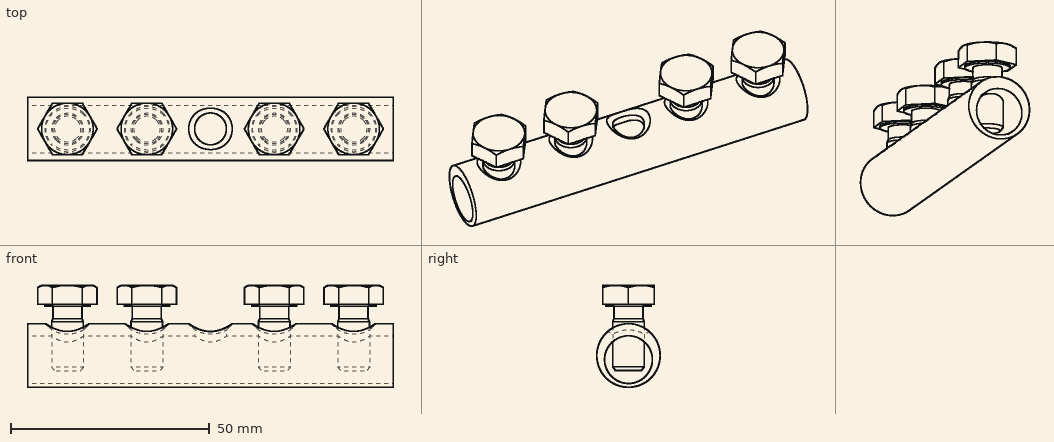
import cadquery as cq
import math

SLEEVE_LENGTH = 92.0
SLEEVE_DIAMETER = 16.0
SLEEVE_RADIUS = SLEEVE_DIAMETER / 2
BORE_DIAMETER = 12.0
BORE_DROP = 1.0

INNER_SCREW_X = 16.0
OUTER_SCREW_X = 36.0
SCREW_POSITIONS = [-OUTER_SCREW_X, -INNER_SCREW_X, INNER_SCREW_X, OUTER_SCREW_X]
MIDDLE_HOLE_X = 0.0

SHANK_DIAMETER = 8.0
HOLE_CHAMFER = 1.5

SCREW_TOP = 25.7 - SLEEVE_RADIUS
SCREW_LENGTH = 21.4
HEAD_HEIGHT = 4.8
HEAD_ACROSS_FLATS = 13.0
HEAD_ACROSS_CORNERS = HEAD_ACROSS_FLATS / math.cos(math.pi / 6)
HEAD_BEVEL_ANGLE = math.radians(30)
WASHER_FACE_DIAMETER = 11.4
WASHER_FACE_HEIGHT = 0.5
NECK_DIAMETER = 7.4
NECK_LENGTH = 3.1
NECK_BEVEL_LENGTH = 0.8
TIP_BEVEL_WIDTH = 0.7
TIP_BEVEL_LENGTH = 0.9


def make_sleeve():
    """Eccentric tube with a row of chamfered radial holes through its upper wall."""
    body = (
        cq.Workplane("YZ", origin=(-SLEEVE_LENGTH / 2, 0, 0))
        .circle(SLEEVE_RADIUS)
        .extrude(SLEEVE_LENGTH)
    )

    hole_positions = [(x, 0) for x in SCREW_POSITIONS + [MIDDLE_HOLE_X]]
    hole_cutter = (
        cq.Workplane("XY")
        .pushPoints(hole_positions)
        .circle(SHANK_DIAMETER / 2)
        .extrude(SLEEVE_DIAMETER)
    )
    body = body.cut(hole_cutter)

    rims = [
        edge for edge in body.edges().vals()
        if edge.geomType() not in ("LINE", "CIRCLE")
    ]
    body = body.newObject(rims).chamfer(HOLE_CHAMFER)

    bore = (
        cq.Workplane("YZ", origin=(-SLEEVE_LENGTH / 2, 0, -BORE_DROP))
        .circle(BORE_DIAMETER / 2)
        .extrude(SLEEVE_LENGTH)
    )
    return body.cut(bore)


def make_head():
    """Hexagonal head, corners along X, its top corners bevelled by a cone."""
    hexagon = (
        cq.Workplane("XY", origin=(0, 0, SCREW_TOP - HEAD_HEIGHT))
        .polygon(6, HEAD_ACROSS_CORNERS)
        .extrude(HEAD_HEIGHT)
    )
    corner_radius = HEAD_ACROSS_CORNERS / 2
    top_radius = HEAD_ACROSS_FLATS / 2
    bevel_drop = (corner_radius - top_radius) * math.tan(HEAD_BEVEL_ANGLE)
    bevel_envelope = (
        cq.Workplane("XZ")
        .moveTo(0, SCREW_TOP - HEAD_HEIGHT)
        .lineTo(corner_radius, SCREW_TOP - HEAD_HEIGHT)
        .lineTo(corner_radius, SCREW_TOP - bevel_drop)
        .lineTo(top_radius, SCREW_TOP)
        .lineTo(0, SCREW_TOP)
        .close()
        .revolve(360, (0, 0, 0), (0, 1, 0))
    )
    return hexagon.intersect(bevel_envelope)


def make_screw(x):
    """Hex screw at x: head, washer face, narrow neck and bevelled shank."""
    head_bottom = SCREW_TOP - HEAD_HEIGHT
    washer_bottom = head_bottom - WASHER_FACE_HEIGHT
    neck_bottom = washer_bottom - NECK_LENGTH
    shank_top = neck_bottom - NECK_BEVEL_LENGTH
    tip = SCREW_TOP - SCREW_LENGTH
    shank_radius = SHANK_DIAMETER / 2
    stem = (
        cq.Workplane("XZ")
        .moveTo(0, head_bottom)
        .lineTo(WASHER_FACE_DIAMETER / 2, head_bottom)
        .lineTo(WASHER_FACE_DIAMETER / 2, washer_bottom)
        .lineTo(NECK_DIAMETER / 2, washer_bottom)
        .lineTo(NECK_DIAMETER / 2, neck_bottom)
        .lineTo(shank_radius, shank_top)
        .lineTo(shank_radius, tip + TIP_BEVEL_LENGTH)
        .lineTo(shank_radius - TIP_BEVEL_WIDTH, tip)
        .lineTo(0, tip)
        .close()
        .revolve(360, (0, 0, 0), (0, 1, 0))
    )
    return make_head().union(stem).translate((x, 0, 0))


sleeve = make_sleeve()
screws = [make_screw(x) for x in SCREW_POSITIONS]
result = cq.Compound.makeCompound([sleeve.val(), *[screw.val() for screw in screws]])